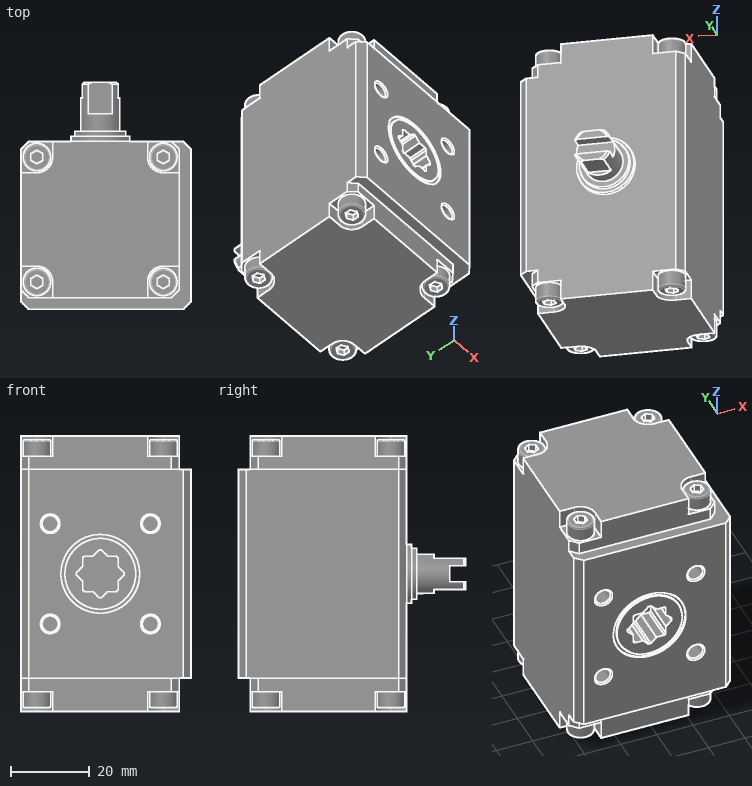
import cadquery as cq
import math


block_left_x = -20.15
block_right_x = 20.05
block_height = 70.0
back_y = 19.7
block_front_y = -20.0
middle_extra = 3.0
middle_height = 53.0
corner_chamfer = 2.0
middle_right_x = block_right_x + middle_extra
front_y = block_front_y - middle_extra

screw_inset_x = 4.05
screw_inset_y = 4.0
pocket_radius = 4.0
pocket_reach = 5.0
pocket_depth = 5.1
head_diameter = 7.0
head_height = 4.1
head_fillet = 0.4
hex_across_flats = 3.0
hex_depth = 2.0
screw_xs = (block_left_x + screw_inset_x, block_right_x - screw_inset_x)
screw_ys = (block_front_y + screw_inset_y, back_y - screw_inset_y)

mount_circle_diameter = 36.0
mount_hole_diameter = 4.13
mount_mouth_diameter = 4.92
mount_hole_depth = 8.0

hub_diameter = 18.0
hub_length = 15.0
hub_recess_diameter = 20.0
hub_recess_depth = 0.5
collar_diameter = 15.0
collar_length = 1.3
ring_diameter = 13.0
ring_length = 1.3
stem_diameter = 10.0
shaft_projection = 15.0
tip_chamfer = 0.5
flats_length = 8.0
across_flats = 8.0
slot_depth = 4.0
slot_width = 4.0
socket_square = 9.0
socket_tip_diameter = 12.1
socket_depth = 10.0
hub_end_y = front_y + hub_length
collar_end_y = back_y + collar_length
ring_end_y = collar_end_y + ring_length
tip_y = back_y + shaft_projection


def chamfered_block(right_x, low_y, height):
    """Upright block from the left face to right_x and from low_y to the back face."""
    width = right_x - block_left_x
    depth = back_y - low_y
    block = cq.Workplane("XY").box(width, depth, height, centered=(False, False, True))
    return block.edges("|Z").chamfer(corner_chamfer).translate((block_left_x, low_y, 0))


def disc(diameter, start_y, end_y):
    """Cylinder on the shaft axis between two Y positions."""
    plane = cq.Workplane("XZ", origin=(0, start_y, 0))
    return plane.circle(diameter / 2).extrude(start_y - end_y)


def top_pocket(x, y):
    """Corner pocket at the block top, rounded around the screw and open to both sides."""
    inner_x = x - math.copysign(pocket_radius, x)
    inner_y = y - math.copysign(pocket_radius, y)
    outer_x = x + math.copysign(pocket_reach, x)
    outer_y = y + math.copysign(pocket_reach, y)
    size = pocket_radius + pocket_reach
    center_z = block_height / 2 - pocket_depth / 2
    pocket = cq.Workplane("XY").box(size, size, pocket_depth)
    inner_edge = ("<" if x > 0 else ">") + "X"
    inner_end = ("<" if y > 0 else ">") + "Y"
    pocket = pocket.edges("|Z").edges(inner_edge).edges(inner_end).fillet(pocket_radius)
    return pocket.translate(((inner_x + outer_x) / 2, (inner_y + outer_y) / 2, center_z))


def top_screw_head(x, y):
    """Socket head standing on the pocket floor."""
    head = (
        cq.Workplane("XY", origin=(x, y, block_height / 2 - pocket_depth))
        .circle(head_diameter / 2)
        .extrude(head_height)
        .faces(">Z")
        .edges()
        .fillet(head_fillet)
    )
    hex_across_corners = hex_across_flats / math.cos(math.pi / 6)
    socket = (
        cq.Workplane("XY", origin=(x, y, block_height / 2 - pocket_depth + head_height))
        .transformed(rotate=(0, 0, 30))
        .polygon(6, hex_across_corners)
        .extrude(-hex_depth)
    )
    return head.cut(socket)


def mount_hole(angle):
    """Blind hole with a countersunk mouth, sunk in the front face."""
    hole_radius = mount_hole_diameter / 2
    mouth_radius = mount_mouth_diameter / 2
    mouth_depth = mouth_radius - hole_radius
    pitch_radius = mount_circle_diameter / 2
    profile = [
        (0, 0),
        (mouth_radius, 0),
        (hole_radius, mouth_depth),
        (hole_radius, mount_hole_depth),
        (0, mount_hole_depth),
    ]
    hole = cq.Workplane("XY").polyline(profile).close().revolve(360, (0, 0), (0, 1))
    return hole.translate(
        (pitch_radius * math.cos(angle), front_y, pitch_radius * math.sin(angle))
    )


def make_housing():
    housing = chamfered_block(block_right_x, block_front_y, block_height)
    housing = housing.union(chamfered_block(middle_right_x, front_y, middle_height))
    for x in screw_xs:
        for y in screw_ys:
            pocket = top_pocket(x, y)
            head = top_screw_head(x, y)
            housing = housing.cut(pocket).cut(pocket.mirror("XY"))
            housing = housing.union(head).union(head.mirror("XY"))
    for quarter in range(4):
        housing = housing.cut(mount_hole(math.pi / 4 + quarter * math.pi / 2))
    housing = housing.cut(disc(hub_recess_diameter, front_y, front_y + hub_recess_depth))
    housing = housing.cut(disc(hub_diameter, front_y, hub_end_y))
    return housing.cut(disc(collar_diameter, hub_end_y, back_y))


def star_socket():
    """Eight-pointed socket: two crossed squares with their points trimmed to a circle."""
    face = cq.Workplane("XZ", origin=(0, front_y, 0))
    star = face.rect(socket_square, socket_square).extrude(-socket_depth)
    star = star.union(star.rotate((0, 0, 0), (0, 1, 0), 45))
    return star.intersect(disc(socket_tip_diameter, front_y, front_y + socket_depth))


def make_shaft():
    shaft = disc(hub_diameter, front_y, hub_end_y)
    shaft = shaft.union(disc(collar_diameter, hub_end_y, collar_end_y))
    shaft = shaft.union(disc(ring_diameter, collar_end_y, ring_end_y))
    stem = disc(stem_diameter, ring_end_y, tip_y)
    shaft = shaft.union(stem.faces(">Y").chamfer(tip_chamfer))

    flats_mid_y = tip_y - flats_length / 2
    for side in (1, -1):
        flat_cut = cq.Workplane("XY").box(stem_diameter, flats_length, stem_diameter)
        flat_z = side * (across_flats + stem_diameter) / 2
        shaft = shaft.cut(flat_cut.translate((0, flats_mid_y, flat_z)))
    slot = cq.Workplane("XY").box(stem_diameter, slot_depth, slot_width)
    shaft = shaft.cut(slot.translate((0, tip_y - slot_depth / 2, 0)))
    return shaft.cut(star_socket())


housing = make_housing()
shaft = make_shaft()
result = cq.Compound.makeCompound([housing.solids().val(), shaft.solids().val()])